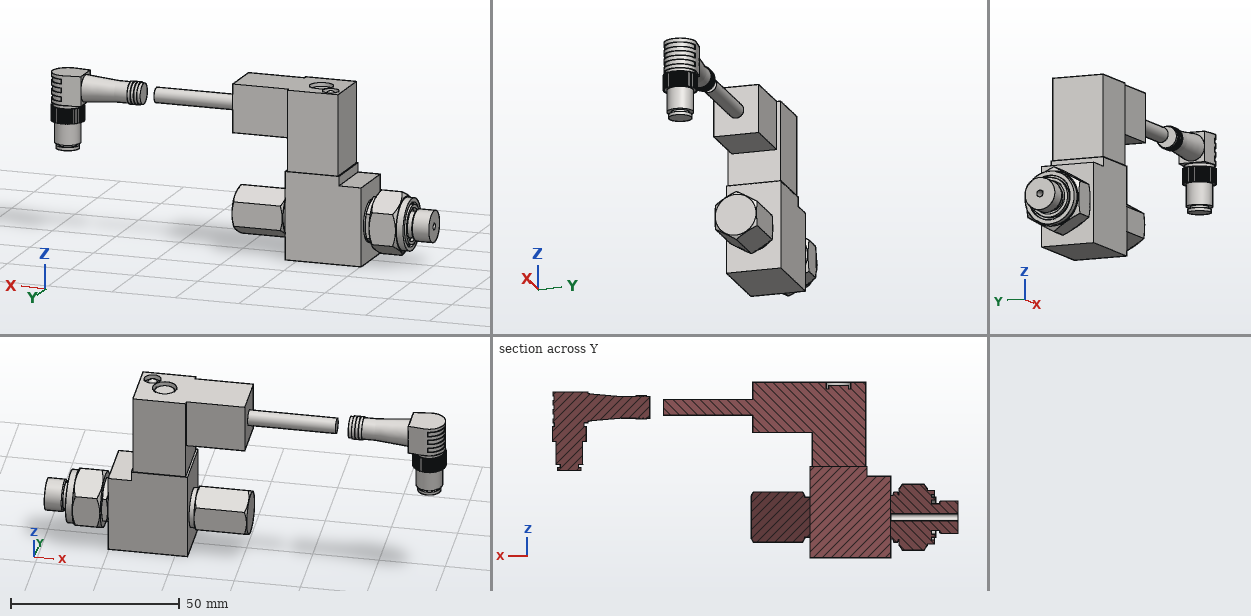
import cadquery as cq
import math


BLOCK_LENGTH = 24.0
BLOCK_WIDTH = 17.0
BLOCK_BOTTOM = -12.1
BLOCK_HEIGHT = 27.2
STEP_LENGTH = 7.0
STEP_DEPTH = 2.9
BLOCK_TOP = BLOCK_BOTTOM + BLOCK_HEIGHT

FITTING_HEX = 13.0
NUT_HEX = 17.0
INLET_HEX_CHAMFER = 0.4
OUTLET_HEX_CHAMFER = 0.7
NUT_END_CHAMFER = 1.0
HEX_FACE_MARGIN = 0.15
THREAD_DIAMETER = 9.73
THREAD_LENGTH = 5.5
THREAD_CHAMFER = 0.35
THREAD_RELIEF_DIAMETER = 8.0
COLLAR_DIAMETER = 16.0
COLLAR_LENGTH = 2.1
SEAL_GROOVE_DIAMETER = 13.4
SEAL_OUTER_DIAMETER = 12.0
SEAL_INNER_DIAMETER = 10.1
SEAL_PROTRUSION = 0.35
SEAL_GROOVE_DEPTH = 0.9
NUT_LENGTH = 8.5
INLET_HEX_LENGTH = 1.9
INLET_SHOULDER_LENGTH = 0.5
INLET_LENGTH = 20.0
INLET_BORE = 2.0
OUTLET_NECK_DIAMETER = 12.0
OUTLET_NECK_LENGTH = 1.5
OUTLET_HEX_LENGTH = 16.0

COIL_LENGTH = 16.0
COIL_WIDTH = 16.4
COIL_HEIGHT = 25.0
COIL_START = 7.4
PLUG_LENGTH = 17.6
PLUG_WIDTH = 14.0
PLUG_HEIGHT = 15.0
CABLE_DIAMETER = 4.7
CABLE_LENGTH = 26.5
COIL_END = COIL_START + COIL_LENGTH
COIL_TOP = BLOCK_TOP + COIL_HEIGHT
PLUG_END = COIL_END + PLUG_LENGTH
CABLE_AXIS_Z = COIL_TOP - PLUG_HEIGHT / 2
LAMP_X = 11.0
LAMP_Y = 4.5
LAMP_RECESS_DIAMETER = 5.0
LAMP_DIAMETER = 3.0
SCREW_RECESS_X = 15.5
SCREW_RECESS_DIAMETER = 7.2
SCREW_RECESS_DEPTH = 2.0
SCREW_DIAMETER = 6.0
SCREW_HEIGHT = 1.0

SLEEVE_START = 71.5
SLEEVE_DIAMETER = 6.5
RIB_DIAMETER = 7.0
RIB_PITCH = 1.05
RIB_GAP = 0.1
RIB_COUNT = 3
CONE_START = SLEEVE_START + 8.1
CONE_END_DIAMETER = 8.3
HEAD_START = SLEEVE_START + 18.35
HEAD_DIAMETER = 9.73
HEAD_TAPER_ANGLE = 7.0
HEAD_HEIGHT = 9.2
HEAD_AXIS_X = 95.45
HEAD_BOTTOM = CABLE_AXIS_Z - HEAD_HEIGHT / 2
GRIP_DEPTH = 0.3
GRIP_HEIGHT = 1.4
GRIP_PITCH = 2.7
GRIP_COUNT = 3
GRIP_START = HEAD_AXIS_X + 0.4
COLLAR_NECK_DIAMETER = 9.0
COLLAR_NECK_LENGTH = 1.0
KNURL_DIAMETER = 10.1
KNURL_DEPTH = 0.25
KNURL_TEETH = 60
KNURL_LENGTH = 4.6
BARREL_DIAMETER = 8.0
BARREL_LENGTH = 6.8
LATCH_GROOVE_DIAMETER = 5.5
LATCH_GROOVE_LENGTH = 0.8
TIP_DIAMETER = 7.0
TIP_LENGTH = 1.0


def cylinder_x(start, length, diameter, axis_z=0.0):
    """Cylinder along X from the given start."""
    return cq.Workplane("YZ", origin=(start, 0, axis_z)).circle(diameter / 2).extrude(length)


def cone_x(start, length, start_diameter, end_diameter, axis_z=0.0):
    """Truncated cone along X."""
    frame = cq.Workplane("YZ", origin=(start, 0, axis_z)).circle(start_diameter / 2)
    return frame.workplane(offset=length).circle(end_diameter / 2).loft()


def hexagon_x(start, length, across_flats, chamfer_length):
    """Hexagonal bar on the port axis, corners up and down, with both end corners turned off."""
    corner_radius = across_flats / math.sqrt(3)
    face_radius = across_flats / 2 - HEX_FACE_MARGIN
    corners = [
        (corner_radius * math.sin(math.radians(60 * i)), corner_radius * math.cos(math.radians(60 * i)))
        for i in range(6)
    ]
    bar = cq.Workplane("YZ", origin=(start, 0, 0)).polyline(corners).close().extrude(length)
    envelope = (
        cq.Workplane("XZ")
        .moveTo(start, 0)
        .lineTo(start, face_radius)
        .lineTo(start + chamfer_length, corner_radius)
        .lineTo(start + length - chamfer_length, corner_radius)
        .lineTo(start + length, face_radius)
        .lineTo(start + length, 0)
        .close()
        .revolve(360, (0, 0, 0), (1, 0, 0))
    )
    return bar.intersect(envelope)


def make_valve_block():
    """Block with a lowered shoulder on the inlet side."""
    return (
        cq.Workplane("XZ")
        .moveTo(0, BLOCK_BOTTOM)
        .lineTo(BLOCK_LENGTH, BLOCK_BOTTOM)
        .lineTo(BLOCK_LENGTH, BLOCK_TOP)
        .lineTo(STEP_LENGTH, BLOCK_TOP)
        .lineTo(STEP_LENGTH, BLOCK_TOP - STEP_DEPTH)
        .lineTo(0, BLOCK_TOP - STEP_DEPTH)
        .close()
        .extrude(BLOCK_WIDTH / 2, both=True)
    )


def make_inlet_fitting():
    """Threaded spigot, collar with face seal, hexagon nut and a smaller hexagon at the block."""
    tip = -INLET_LENGTH
    shoulder_start = -INLET_SHOULDER_LENGTH
    hex_start = shoulder_start - INLET_HEX_LENGTH
    nut_start = hex_start - NUT_LENGTH
    collar_start = nut_start - COLLAR_LENGTH
    thread_end = tip + THREAD_LENGTH

    fitting = cylinder_x(tip, THREAD_LENGTH, THREAD_DIAMETER).faces(">X").chamfer(THREAD_CHAMFER)
    fitting = fitting.union(cylinder_x(thread_end, collar_start - thread_end, THREAD_RELIEF_DIAMETER))

    groove = cylinder_x(collar_start, SEAL_GROOVE_DEPTH, SEAL_GROOVE_DIAMETER).cut(
        cylinder_x(collar_start, SEAL_GROOVE_DEPTH, THREAD_RELIEF_DIAMETER)
    )
    fitting = fitting.union(cylinder_x(collar_start, COLLAR_LENGTH, COLLAR_DIAMETER).cut(groove))

    seal_start = collar_start - SEAL_PROTRUSION
    seal_length = SEAL_PROTRUSION + SEAL_GROOVE_DEPTH
    seal = cylinder_x(seal_start, seal_length, SEAL_OUTER_DIAMETER).cut(
        cylinder_x(seal_start, seal_length, SEAL_INNER_DIAMETER)
    )
    fitting = fitting.union(seal)

    fitting = fitting.union(hexagon_x(nut_start, NUT_LENGTH, NUT_HEX, NUT_END_CHAMFER))
    fitting = fitting.union(hexagon_x(hex_start, INLET_HEX_LENGTH, FITTING_HEX, INLET_HEX_CHAMFER))
    fitting = fitting.union(cylinder_x(shoulder_start, INLET_SHOULDER_LENGTH, FITTING_HEX))
    return fitting.cut(cylinder_x(tip, INLET_LENGTH, INLET_BORE))


def make_outlet_fitting():
    """Round neck at the block followed by a long hexagon."""
    neck = cylinder_x(BLOCK_LENGTH, OUTLET_NECK_LENGTH, OUTLET_NECK_DIAMETER)
    hex_start = BLOCK_LENGTH + OUTLET_NECK_LENGTH
    return neck.union(hexagon_x(hex_start, OUTLET_HEX_LENGTH, FITTING_HEX, OUTLET_HEX_CHAMFER))


def make_coil():
    """Coil housing with side plug, cable stub, lamp recess and screw recess."""
    coil = cq.Workplane("XY", origin=(COIL_START, 0, BLOCK_TOP)).box(
        COIL_LENGTH, COIL_WIDTH, COIL_HEIGHT, centered=(False, True, False)
    )
    plug = cq.Workplane("XY", origin=(COIL_END, 0, COIL_TOP - PLUG_HEIGHT)).box(
        PLUG_LENGTH, PLUG_WIDTH, PLUG_HEIGHT, centered=(False, True, False)
    )
    coil = coil.union(plug).union(cylinder_x(PLUG_END, CABLE_LENGTH, CABLE_DIAMETER, CABLE_AXIS_Z))

    screw_floor = cq.Workplane("XY", origin=(SCREW_RECESS_X, 0, COIL_TOP - SCREW_RECESS_DEPTH))
    screw_recess = screw_floor.circle(SCREW_RECESS_DIAMETER / 2).extrude(SCREW_RECESS_DEPTH)
    screw = screw_floor.circle(SCREW_DIAMETER / 2).extrude(SCREW_HEIGHT)

    lamp_floor = (LAMP_X, LAMP_Y, COIL_TOP - LAMP_DIAMETER / 2)
    lamp_recess = (
        cq.Workplane("XY", origin=lamp_floor).circle(LAMP_RECESS_DIAMETER / 2).extrude(LAMP_DIAMETER / 2)
    )
    lamp = cq.Workplane("XY", origin=lamp_floor).sphere(LAMP_DIAMETER / 2)
    return coil.cut(screw_recess).cut(lamp_recess).union(screw).union(lamp)


def make_connector_sleeve():
    """Ribbed cable sleeve that widens towards the connector head."""
    sleeve = cylinder_x(SLEEVE_START, CONE_START - SLEEVE_START, SLEEVE_DIAMETER, CABLE_AXIS_Z)
    for i in range(RIB_COUNT):
        rib_start = SLEEVE_START + (i + 1) * RIB_PITCH
        sleeve = sleeve.union(cylinder_x(rib_start, RIB_PITCH - RIB_GAP, RIB_DIAMETER, CABLE_AXIS_Z))
    cone = cone_x(CONE_START, HEAD_START - CONE_START, SLEEVE_DIAMETER, CONE_END_DIAMETER, CABLE_AXIS_Z)
    return sleeve.union(cone)


def make_connector_head():
    """Head with flat tapering sides, a round back and shallow grip slots around the back."""
    radius = HEAD_DIAMETER / 2
    taper = math.radians(HEAD_TAPER_ANGLE)
    tangent_x = HEAD_AXIS_X - radius * math.sin(taper)
    tangent_y = radius * math.cos(taper)
    start_half_width = tangent_y - (tangent_x - HEAD_START) * math.tan(taper)
    head = (
        cq.Workplane("XY", origin=(0, 0, HEAD_BOTTOM))
        .moveTo(HEAD_START, -start_half_width)
        .lineTo(tangent_x, -tangent_y)
        .threePointArc((HEAD_AXIS_X + radius, 0), (tangent_x, tangent_y))
        .lineTo(HEAD_START, start_half_width)
        .close()
        .extrude(HEAD_HEIGHT)
    )
    for i in range(GRIP_COUNT):
        grip_z = CABLE_AXIS_Z + (i - (GRIP_COUNT - 1) / 2) * GRIP_PITCH
        ring = (
            cq.Workplane("XY", origin=(HEAD_AXIS_X, 0, grip_z - GRIP_HEIGHT / 2))
            .circle(radius + GRIP_DEPTH)
            .circle(radius - GRIP_DEPTH)
            .extrude(GRIP_HEIGHT)
        )
        back_half = cq.Workplane("XY", origin=(GRIP_START, 0, grip_z)).box(
            HEAD_DIAMETER, 2 * HEAD_DIAMETER, GRIP_HEIGHT, centered=(False, True, True)
        )
        head = head.cut(ring.intersect(back_half))
    return head


def make_knurled_ring(top):
    """Coupling ring with straight knurling, hanging down from the given height."""
    crest_radius = KNURL_DIAMETER / 2
    root_radius = crest_radius - KNURL_DEPTH
    outline = []
    for i in range(2 * KNURL_TEETH):
        radius = crest_radius if i % 2 == 0 else root_radius
        angle = math.pi * i / KNURL_TEETH
        outline.append((radius * math.cos(angle), radius * math.sin(angle)))
    frame = cq.Workplane("XY", origin=(HEAD_AXIS_X, 0, top))
    return frame.polyline(outline).close().extrude(-KNURL_LENGTH)


def make_connector():
    """Angled connector: sleeve along X, head, then the plug-in end stacked downwards."""
    connector = make_connector_sleeve().union(make_connector_head())

    def add_section(body, top, diameter, length):
        section = cq.Workplane("XY", origin=(HEAD_AXIS_X, 0, top)).circle(diameter / 2).extrude(-length)
        return body.union(section)

    knurl_top = HEAD_BOTTOM - COLLAR_NECK_LENGTH
    barrel_top = knurl_top - KNURL_LENGTH
    latch_top = barrel_top - BARREL_LENGTH
    tip_top = latch_top - LATCH_GROOVE_LENGTH
    connector = add_section(connector, HEAD_BOTTOM, COLLAR_NECK_DIAMETER, COLLAR_NECK_LENGTH)
    connector = connector.union(make_knurled_ring(knurl_top))
    connector = add_section(connector, barrel_top, BARREL_DIAMETER, BARREL_LENGTH)
    connector = add_section(connector, latch_top, LATCH_GROOVE_DIAMETER, LATCH_GROOVE_LENGTH)
    return add_section(connector, tip_top, TIP_DIAMETER, TIP_LENGTH)


valve_block = make_valve_block()
inlet_fitting = make_inlet_fitting()
outlet_fitting = make_outlet_fitting()
coil = make_coil()
connector = make_connector()

result = cq.Compound.makeCompound([
    valve_block.val(),
    inlet_fitting.val(),
    outlet_fitting.val(),
    coil.val(),
    connector.val(),
])